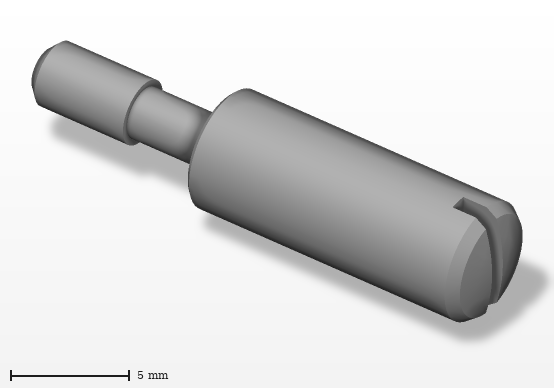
import cadquery as cq
import math

total_length = 23.0

tip_diameter = 3.0
tip_length = 5.0
tip_chamfer = 0.5

neck_diameter = 2.4
neck_length = 4.0

body_diameter = 5.5
body_chamfer = 0.2

shoulder_length = 0.5
dome_base_diameter = 4.71
dome_radius = 8.74

slot_width = 0.8
slot_depth = 2.0

tip_radius = tip_diameter / 2
neck_radius = neck_diameter / 2
body_radius = body_diameter / 2
dome_base_radius = dome_base_diameter / 2

body_start = tip_length + neck_length


def dome_drop(radius):
    """Axial distance from the dome's apex back to its surface at a radius."""
    return dome_radius - math.sqrt(dome_radius**2 - radius**2)


dome_apex = total_length + dome_drop(slot_width / 2)
dome_start = dome_apex - dome_drop(dome_base_radius)
dome_mid_radius = dome_base_radius / 2
dome_mid_x = dome_apex - dome_drop(dome_mid_radius)
shoulder_start = dome_start - shoulder_length


def turned_blank():
    """Revolve the half profile about the X axis."""
    profile = (
        cq.Workplane("XY")
        .lineTo(0, tip_radius - tip_chamfer)
        .lineTo(tip_chamfer, tip_radius)
        .lineTo(tip_length, tip_radius)
        .lineTo(tip_length, neck_radius)
        .lineTo(body_start, neck_radius)
        .lineTo(body_start, body_radius - body_chamfer)
        .lineTo(body_start + body_chamfer, body_radius)
        .lineTo(shoulder_start, body_radius)
        .lineTo(dome_start, dome_base_radius)
        .threePointArc((dome_mid_x, dome_mid_radius), (dome_apex, 0))
        .close()
    )
    return profile.revolve(360, (0, 0, 0), (1, 0, 0))


def screwdriver_slot():
    """Cutter centred on the head end, so its inner half forms the slot."""
    return (
        cq.Workplane("XY")
        .box(2 * slot_depth, slot_width, body_diameter)
        .translate((total_length, 0, 0))
    )


result = turned_blank().cut(screwdriver_slot())